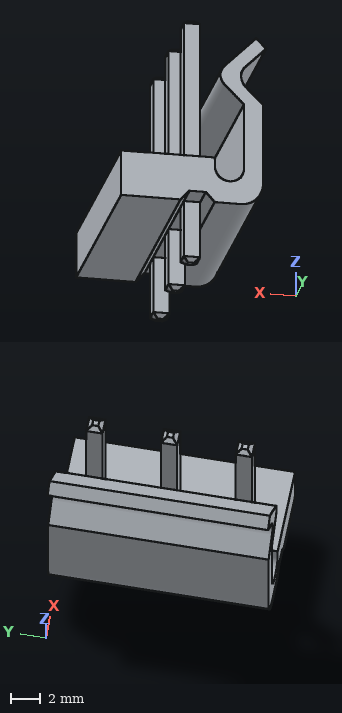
import cadquery as cq

body_length = 15.0
body_depth = 9.7
base_height = 3.22
wall_thickness = 1.3
outer_corner_radius = 1.53

slot_width = 1.98
slot_radius = slot_width / 2
slot_floor = 1.58

wall_top_outer = 7.3
wall_top_inner = 7.2
bend_height = 9.22
bend_radius = 1.0
tip_overhang = 0.23

pin_count = 3
pin_pitch = 5.08
pin_width = 1.11
pin_x = 4.47
pin_height = 17.4
pin_bottom = -3.58
pin_taper_inset = 0.35
pin_taper_height = 0.3
groove_depth = 0.68
groove_flare = 0.61

slot_right = wall_thickness + slot_width
slot_center_x = wall_thickness + slot_radius
slot_center_z = slot_floor + slot_radius
outer_bend_x = bend_height - wall_top_outer
inner_bend_x = wall_thickness + bend_height - wall_top_inner
tip_offset = (inner_bend_x - outer_bend_x) / 2
tip_low_z = bend_height + outer_bend_x + tip_overhang
groove_left = pin_x - pin_width / 2
groove_right = pin_x + pin_width / 2


def make_body():
    """Extrude the latch and base profile along Y, then round its corners."""
    profile = (
        cq.Workplane("XZ")
        .moveTo(0, 0)
        .lineTo(groove_left - groove_flare, 0)
        .lineTo(groove_left, groove_depth)
        .lineTo(groove_right, groove_depth)
        .lineTo(groove_right + groove_flare, 0)
        .lineTo(body_depth, 0)
        .lineTo(body_depth, base_height)
        .lineTo(slot_right, base_height)
        .lineTo(slot_right, slot_center_z)
        .threePointArc((slot_center_x, slot_floor), (wall_thickness, slot_center_z))
        .lineTo(wall_thickness, wall_top_inner)
        .lineTo(inner_bend_x, bend_height)
        .lineTo(tip_offset - tip_overhang, tip_low_z + tip_offset)
        .lineTo(-tip_overhang, tip_low_z)
        .lineTo(outer_bend_x, bend_height)
        .lineTo(0, wall_top_outer)
        .close()
    )
    body = profile.extrude(body_length / 2, both=True)
    for bend_x in (inner_bend_x, outer_bend_x):
        bend_edge = cq.NearestToPointSelector((bend_x, 0, bend_height))
        body = body.edges("|Y").edges(bend_edge).fillet(bend_radius)
    bottom_corner = cq.NearestToPointSelector((0, 0, 0))
    return body.edges("|Y").edges(bottom_corner).fillet(outer_corner_radius)


def make_pin(y):
    """Square pin with a tapered tip at each end."""
    pin = (
        cq.Workplane("XY", origin=(pin_x, y, pin_bottom))
        .rect(pin_width, pin_width)
        .extrude(pin_height)
    )
    return pin.faces("<Z or >Z").chamfer(pin_taper_height, pin_taper_inset)


result = make_body()
for index in range(pin_count):
    result = result.union(make_pin((index - (pin_count - 1) / 2) * pin_pitch))